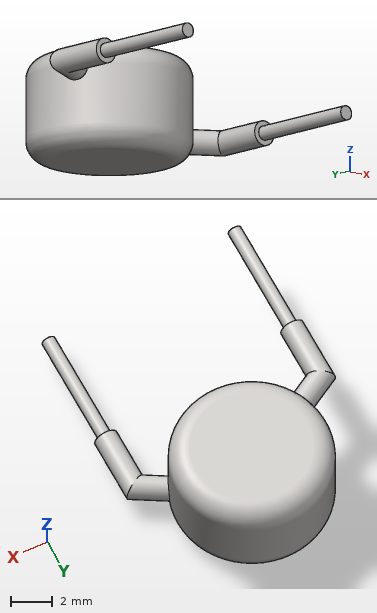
import cadquery as cq
import math

housing_diameter = 8.0
housing_height = 5.0
housing_fillet = 1.0

lead_spacing = 10.0
lead_height_offset = 1.3
coating_diameter = 1.21
wire_diameter = 0.7
overall_length = 15.5
bend_y = -2.5
coating_end_y = -5.52
wire_end_y = housing_diameter / 2 - overall_length
entry_angle = 30.0
inner_leg_length = 3.1


def make_housing_blank():
    """Round disc with rounded top and bottom rims."""
    disc = cq.Workplane("XY").circle(housing_diameter / 2).extrude(housing_height)
    disc = disc.translate((0, 0, -housing_height / 2))
    return disc.edges("%CIRCLE").fillet(housing_fillet)


def make_lead(side):
    """Bent lead on the left (side = -1, upper) or right (side = 1, lower)."""
    x = side * lead_spacing / 2
    z = -side * lead_height_offset
    angle = math.radians(entry_angle)
    inner_x = x - side * inner_leg_length * math.cos(angle)
    inner_y = bend_y + inner_leg_length * math.sin(angle)

    path = cq.Workplane("XY", origin=(0, 0, z)).polyline(
        [(x, coating_end_y), (x, bend_y), (inner_x, inner_y)]
    )
    end_plane = cq.Workplane("XZ", origin=(x, coating_end_y, z))
    coated_section = end_plane.circle(coating_diameter / 2).sweep(path, transition="right")
    wire = end_plane.circle(wire_diameter / 2).extrude(coating_end_y - wire_end_y)
    return coated_section.union(wire)


leads = [make_lead(side) for side in (-1, 1)]

housing = make_housing_blank()
for lead in leads:
    housing = housing.cut(lead)

lead_solids = [lead.solids().val() for lead in leads]
result = cq.Compound.makeCompound([housing.solids().val(), *lead_solids])